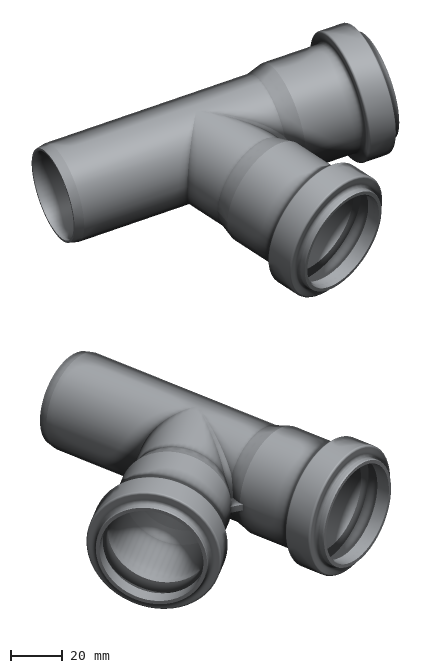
import cadquery as cq

run_length = 137.2
junction_y = 61.0
branch_length = 76.1
branch_rise = 22.5
pipe_radius = 40.2 / 2
bore_radius = 36.6 / 2
tip_radius = 19.2
tip_chamfer_length = 3.7

socket_radius = 44.5 / 2
socket_bore_radius = 40.7 / 2
mouth_radius = 41.2 / 2
rim_radius = 44.0 / 2
rim_chamfer_length = 0.5
socket_depth = 39.9
taper_length = 7.0

collar_radius = 53.5 / 2
collar_top_depth = 3.4
collar_bottom_depth = 15.1
collar_edge_fillet = 0.8
collar_root_fillet = 1.1
groove_radius = 50.4 / 2
groove_wall = 2.0

crotch_reach = 38.4
web_reach = 43.8
web_thickness = 2.7
crotch_width = 12.3

crotch_angle = (90 + branch_rise) / 2


def revolve_profile(points):
    """Revolve (radius, height) points about the Y axis."""
    return cq.Workplane("XY").polyline(points).close().revolve(360, (0, 0, 0), (0, 1, 0))


def circle_at(radius, height):
    """Selector for the circular edge of a given radius around the Y axis at a given height."""
    margin = 0.01
    reach = radius + margin
    return cq.selectors.BoxSelector(
        (-reach, height - margin, -reach), (reach, height + margin, reach), boundingbox=True
    )


def pipe_outside(length):
    """Outside of a pipe along +Y that widens into a collared socket ending at length."""
    body = revolve_profile([
        (0, 0),
        (pipe_radius, 0),
        (pipe_radius, length - socket_depth - taper_length),
        (socket_radius, length - socket_depth),
        (socket_radius, length - collar_bottom_depth),
        (collar_radius, length - collar_bottom_depth),
        (collar_radius, length - collar_top_depth),
        (socket_radius, length - collar_top_depth),
        (socket_radius, length - rim_chamfer_length),
        (rim_radius, length),
        (0, length),
    ])

    collar_ends = (length - collar_bottom_depth, length - collar_top_depth)
    for radius, fillet in ((socket_radius, collar_root_fillet), (collar_radius, collar_edge_fillet)):
        for height in collar_ends:
            body = body.edges(circle_at(radius, height)).fillet(fillet)
    return body


def pipe_inside(length, start):
    """Bore of a pipe along +Y, from start to the socket mouth at length."""
    return revolve_profile([
        (0, start),
        (bore_radius, start),
        (bore_radius, length - socket_depth - taper_length),
        (socket_bore_radius, length - socket_depth),
        (socket_bore_radius, length - collar_bottom_depth + groove_wall),
        (groove_radius, length - collar_bottom_depth + groove_wall),
        (groove_radius, length - collar_top_depth - groove_wall),
        (mouth_radius, length - collar_top_depth - groove_wall),
        (mouth_radius, length),
        (0, length),
    ])


def place_branch(shape):
    return shape.rotate((0, 0, 0), (0, 0, 1), branch_rise - 90)


def crotch_filling():
    """Half-elliptic saddle and thin web along the bisector of the two pipes."""

    def wedge(thickness):
        half_width = crotch_width / 2
        corners = [(0, 0), (web_reach, -half_width), (web_reach, half_width)]
        return cq.Workplane("XY").polyline(corners).close().extrude(thickness / 2, both=True)

    saddle = (
        cq.Workplane("XZ")
        .ellipse(crotch_reach, pipe_radius)
        .extrude(crotch_width / 2, both=True)
        .intersect(wedge(2 * pipe_radius))
    )
    return saddle.union(wedge(web_thickness)).rotate((0, 0, 0), (0, 0, 1), crotch_angle)


def tip_cutter():
    """Ring that bevels the plain end of the run."""
    return revolve_profile([
        (tip_radius, -junction_y),
        (pipe_radius, -junction_y + tip_chamfer_length),
        (collar_radius, -junction_y + tip_chamfer_length),
        (collar_radius, -junction_y),
    ])


run_top = run_length - junction_y
plain_end = cq.Workplane("XZ").circle(pipe_radius).extrude(junction_y)
outside = (
    pipe_outside(run_top)
    .union(plain_end)
    .union(place_branch(pipe_outside(branch_length)))
    .union(crotch_filling())
    .cut(tip_cutter())
)
result = (
    outside
    .cut(pipe_inside(run_top, -junction_y))
    .cut(place_branch(pipe_inside(branch_length, 0)))
)